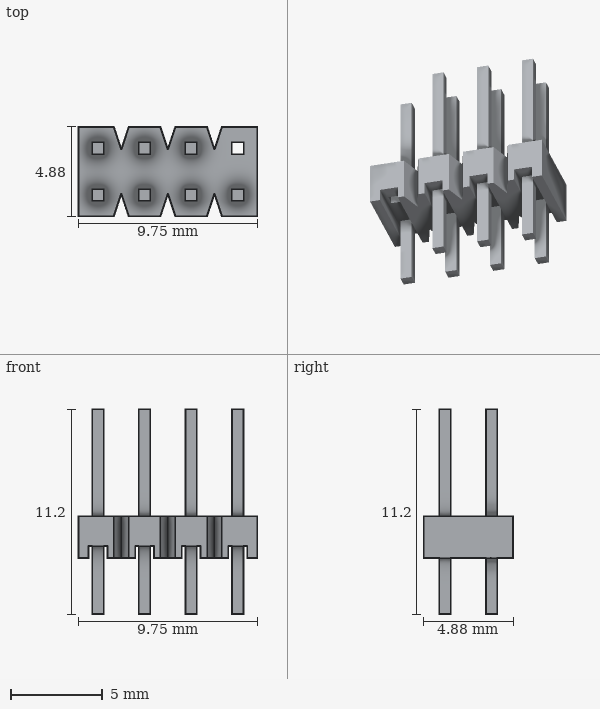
import cadquery as cq

pitch = 2.54
columns = 4
rows = 2
pin_width = 0.635
pin_above_body = 5.84
pin_below_body = 3.05
empty_position = (columns - 1, rows - 1)

body_length = 9.75
body_width = 4.88
body_height = 2.29

notch_width = 0.81
notch_depth = 1.22

channel_width = 1.016
channel_height = 0.65

pin_length = pin_above_body + body_height + pin_below_body


def column_x(column):
    return (column - (columns - 1) / 2) * pitch


def row_y(row):
    return (row - (rows - 1) / 2) * pitch


def make_notch(x, side):
    """Triangular cutter at x; side is +1 or -1 for the +Y or -Y face."""
    edge_y = side * body_width / 2
    return (
        cq.Workplane("XY")
        .moveTo(x - notch_width / 2, edge_y)
        .lineTo(x + notch_width / 2, edge_y)
        .lineTo(x, edge_y - side * notch_depth)
        .close()
        .extrude(body_height)
    )


def make_channel(x):
    return (
        cq.Workplane("XY")
        .center(x, 0)
        .box(channel_width, body_width, channel_height, centered=(True, True, False))
    )


def make_post(column, row):
    """Square post through the body at one grid position."""
    return (
        cq.Workplane("XY", origin=(column_x(column), row_y(row), -pin_below_body))
        .rect(pin_width, pin_width)
        .extrude(pin_length)
    )


def make_body():
    """Body with its underside resting on Z = 0."""
    body = cq.Workplane("XY").box(
        body_length, body_width, body_height, centered=(True, True, False)
    )
    for column in range(columns):
        body = body.cut(make_channel(column_x(column)))
    for gap in range(columns - 1):
        notch_x = column_x(gap) + pitch / 2
        for side in (-1, 1):
            body = body.cut(make_notch(notch_x, side))
    return body


result = make_body()
for column in range(columns):
    for row in range(rows):
        post = make_post(column, row)
        if (column, row) == empty_position:
            result = result.cut(post)
        else:
            result = result.union(post)